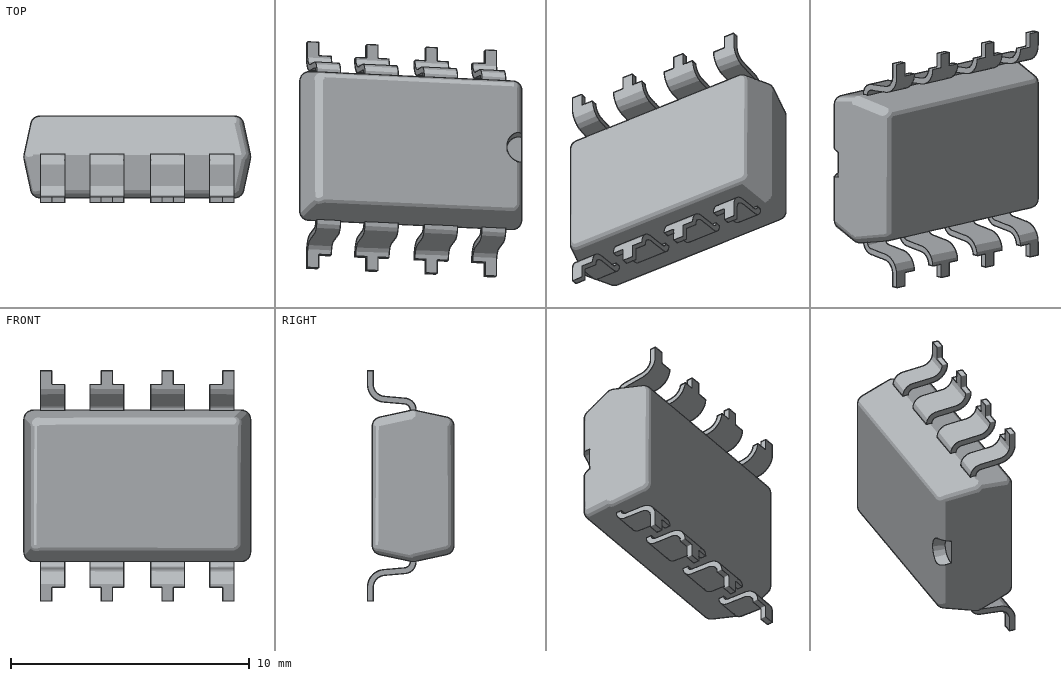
import cadquery as cq
import math

body_width = 9.5
body_height = 6.35
body_depth = 3.43
draft_angle = 12.2
edge_radius = 0.4

notch_radius = 0.65
notch_depth = 0.525
notch_draft = 12.0

lead_span = 9.65
lead_thickness = 0.25
standoff = 0.2
body_bend_radius = 0.25
foot_bend_radius = 0.5
lead_slope = 5.0
lead_pitch = 2.54
tip_width = 0.48
inner_lead_width = 1.43
outer_lead_inboard = 0.78
corner_fillet = 0.03

half_depth = body_depth / 2
half_height = body_height / 2
draft_slope = math.tan(math.radians(draft_angle))
crest_trim = edge_radius * (1 / math.cos(math.radians(draft_angle)) - 1)


def housing_half(direction):
    """Drafted half housing from the crest to the face at direction * half_depth."""
    return (
        cq.Workplane("XZ")
        .rect(body_width + 2 * crest_trim, body_height + 2 * crest_trim)
        .extrude(-direction * half_depth, taper=draft_angle)
    )


def notch_tool():
    """Tapered round pocket centred on the edge between the -X side and the +Y face."""
    edge_x = -(body_width / 2 + crest_trim - half_depth * draft_slope)
    floor_radius = notch_radius - notch_depth * math.tan(math.radians(notch_draft))
    cone = cq.Solid.makeCone(
        notch_radius,
        floor_radius,
        notch_depth,
        pnt=cq.Vector(edge_x, half_depth, 0),
        dir=cq.Vector(0, -1, 0),
    )
    return cq.Workplane(obj=cone)


def make_housing():
    blank = housing_half(1).union(housing_half(-1))
    return blank.edges().fillet(edge_radius).cut(notch_tool())


def lead_profile():
    """Gull-wing side outline of a +Z lead, drawn in the YZ plane; returns it and the foot bend's end."""
    slope = math.radians(lead_slope)
    half_thickness = lead_thickness / 2
    tip_z = lead_span / 2
    root_z = half_height - edge_radius

    foot_outer_y = -half_depth - standoff
    foot_inner_y = foot_outer_y + lead_thickness

    body_centre_y = -half_thickness - body_bend_radius
    body_centre_z = half_height
    foot_centre_y = foot_inner_y + foot_bend_radius
    bend_gap = body_bend_radius + foot_bend_radius + lead_thickness
    shoulder = (body_centre_y - foot_centre_y + bend_gap * math.sin(slope)) / math.cos(slope)
    foot_centre_z = body_centre_z + shoulder * math.sin(slope) + bend_gap * math.cos(slope)

    def on_body_bend(radius, angle):
        return body_centre_y + radius * math.cos(angle), body_centre_z + radius * math.sin(angle)

    def on_foot_bend(radius, angle):
        return foot_centre_y - radius * math.cos(angle), foot_centre_z - radius * math.sin(angle)

    body_outer = body_bend_radius + lead_thickness
    foot_outer = foot_bend_radius + lead_thickness
    sweep = math.pi / 2 - slope

    profile = (
        cq.Workplane("YZ")
        .moveTo(half_thickness, root_z)
        .lineTo(half_thickness, body_centre_z)
        .threePointArc(on_body_bend(body_outer, sweep / 2), on_body_bend(body_outer, sweep))
        .lineTo(*on_foot_bend(foot_bend_radius, sweep))
        .threePointArc(on_foot_bend(foot_bend_radius, sweep / 2), (foot_inner_y, foot_centre_z))
        .lineTo(foot_inner_y, tip_z)
        .lineTo(foot_outer_y, tip_z)
        .lineTo(foot_outer_y, foot_centre_z)
        .threePointArc(on_foot_bend(foot_outer, sweep / 2), on_foot_bend(foot_outer, sweep))
        .lineTo(*on_body_bend(body_bend_radius, sweep))
        .threePointArc(on_body_bend(body_bend_radius, sweep / 2), (-half_thickness, body_centre_z))
        .lineTo(-half_thickness, root_z)
        .close()
    )
    return profile, foot_centre_z


def lead_plan(left, right, tip_x, shoulder_z):
    """Outline of a +Z lead along Y: a wide strap and a narrow tip with rounded corners."""
    tip_length = lead_span / 2 - shoulder_z
    strap = cq.Workplane("XY").box(right - left, body_depth * 2, shoulder_z, centered=(False, True, False))
    strap = strap.translate((left, 0, 0))
    tip = cq.Workplane("XY").box(tip_width, body_depth * 2, tip_length, centered=(True, True, False))
    plan = strap.union(tip.translate((tip_x, 0, shoulder_z)))
    corners = plan.edges("|Y").edges(cq.selectors.BoxSelector(
        (left - lead_pitch, -body_depth * 2, shoulder_z - corner_fillet),
        (right + lead_pitch, body_depth * 2, lead_span),
    ))
    return corners.fillet(corner_fillet)


def make_lead(tip_x, left, right, housing):
    """One +Z lead, its root trimmed to the surface of the housing."""
    profile, shoulder_z = lead_profile()
    bent_strip = profile.extrude(right - left).translate((left, 0, 0))
    lead = bent_strip.intersect(lead_plan(left, right, tip_x, shoulder_z))
    return lead.cut(housing)


def lead_positions():
    """(tip centre, left edge, right edge) along X for the four leads of a row."""
    inner_x = lead_pitch / 2
    outer_x = inner_x + lead_pitch
    half_inner = inner_lead_width / 2
    half_tip = tip_width / 2
    return [
        (-outer_x, -outer_x - half_tip, -outer_x + outer_lead_inboard),
        (-inner_x, -inner_x - half_inner, -inner_x + half_inner),
        (inner_x, inner_x - half_inner, inner_x + half_inner),
        (outer_x, outer_x - outer_lead_inboard, outer_x + half_tip),
    ]


housing = make_housing()
leads = []
for tip_x, left, right in lead_positions():
    upper_lead = make_lead(tip_x, left, right, housing)
    lower_lead = upper_lead.mirror("XY")
    leads += [upper_lead.val(), lower_lead.val()]

result = cq.Compound.makeCompound([housing.val(), *leads])